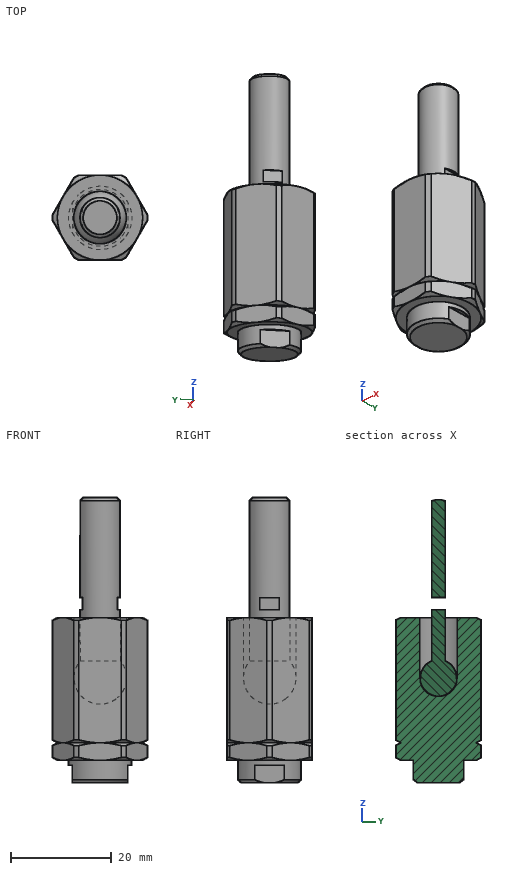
import cadquery as cq
import math

total_height = 57.0

across_flats = 17.0
corner_diameter = 19.0
hex_chamfer_angle = 30.0
casing_top = 33.0
collar_top = 8.0
collar_bottom = 4.5

spigot_diameter = 12.65
spigot_chamfer = 0.65
spigot_flat_width = 11.15
spigot_flat_height = 3.5

stud_diameter = 8.0
stud_chamfer = 0.65
stud_flat_width = 7.0
stud_flat_bottom = casing_top + 1.6
stud_flat_top = casing_top + 4.0

bore_diameter = 10.5
ball_diameter = bore_diameter
ball_center_height = 21.0


def hex_prism(bottom, top):
    """Hexagon with two flats facing +/-Y, turned to a cone at both ends and round at the corners."""
    height = top - bottom
    across_corners = across_flats / math.cos(math.pi / 6)
    face_radius = across_flats / 2
    corner_radius = corner_diameter / 2
    chamfer_height = (corner_radius - face_radius) * math.tan(math.radians(hex_chamfer_angle))
    prism = cq.Workplane("XY").workplane(offset=bottom).polygon(6, across_corners).extrude(height)
    turned_envelope = (
        cq.Workplane("XZ")
        .moveTo(0, bottom)
        .lineTo(face_radius, bottom)
        .lineTo(corner_radius, bottom + chamfer_height)
        .lineTo(corner_radius, top - chamfer_height)
        .lineTo(face_radius, top)
        .lineTo(0, top)
        .close()
        .revolve(360, (0, 0, 0), (0, 1, 0))
    )
    return prism.intersect(turned_envelope)


def cut_side_flats(body, flat_width, stock_diameter, bottom, top):
    """Cut two parallel flats facing +/-X between two heights."""
    height = top - bottom
    for side in (-1, 1):
        cutter = (
            cq.Workplane("XY")
            .box(stock_diameter, 2 * stock_diameter, height, centered=(True, True, False))
            .translate((side * (flat_width + stock_diameter) / 2, 0, bottom))
        )
        body = body.cut(cutter)
    return body


def ball():
    """Ball of the joint, also used to round the bottom of the bore."""
    return cq.Workplane("XY").sphere(ball_diameter / 2).translate((0, 0, ball_center_height))


def make_spigot():
    """Chamfered round end below the collar, with its two wrench flats."""
    spigot = (
        cq.Workplane("XY")
        .circle(spigot_diameter / 2)
        .extrude(collar_bottom)
        .faces("<Z")
        .chamfer(spigot_chamfer)
    )
    return cut_side_flats(spigot, spigot_flat_width, spigot_diameter, 0, spigot_flat_height)


def make_housing():
    """Hexagonal casing, collar and spigot in one piece, bored from the top for the ball."""
    casing = hex_prism(collar_top, casing_top)
    collar = hex_prism(collar_bottom, collar_top)
    bore = (
        cq.Workplane("XY")
        .workplane(offset=ball_center_height)
        .circle(bore_diameter / 2)
        .extrude(casing_top - ball_center_height)
    )
    return casing.union(collar).union(make_spigot()).cut(bore).cut(ball())


def make_stud():
    """Round shank with wrench flats, ending in the ball."""
    shank = (
        cq.Workplane("XY")
        .workplane(offset=ball_center_height)
        .circle(stud_diameter / 2)
        .extrude(total_height - ball_center_height)
        .faces(">Z")
        .chamfer(stud_chamfer)
    )
    shank = cut_side_flats(shank, stud_flat_width, stud_diameter, stud_flat_bottom, stud_flat_top)
    return shank.union(ball())


housing = make_housing()
stud = make_stud()

result = cq.Compound.makeCompound([housing.solids().val(), stud.solids().val()])